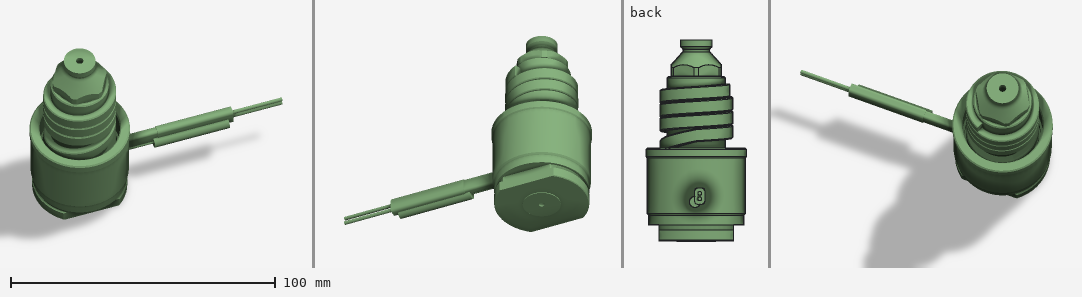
import cadquery as cq
import math

TOTAL_HEIGHT = 76.2
BOTTOM_PAD_TOP = 0.3
FOOT_TOP = 4.3
GROOVE_TOP = 6.3
STEP_TOP = 9.9
SHELL_BOTTOM = 10.7
FLANGE_BOTTOM = 31.6
FLANGE_TOP = 35.3
RECESS_FLOOR = 21.0
RECESS_LEDGE = 25.0
BARREL_TOP = 62.3
NUT_BOTTOM = 62.6
NECK_BOTTOM = 71.7
CAP_BOTTOM = 73.7

BOTTOM_PAD_RADIUS = 7.2
STEP_RADIUS = 18.0
GROOVE_RADIUS = 17.1
SHELL_RADIUS = 18.6
FLANGE_RADIUS = 19.0
RECESS_RADIUS = 15.2
WELL_RADIUS = 14.4
BARREL_RADIUS = 11.0
NECK_RADIUS = 5.1
CAP_RADIUS = 6.0
BORE_RADIUS = 1.4
BORE_OUTLET_RADIUS = 1.1
BORE_DEPTH = 20.0

EDGE_CHAMFER = 0.5
RECESS_CHAMFER = 0.5
FOOT_CHAMFER = 0.3
FOOT_FLAT_DISTANCE = 14.1

NUT_APOTHEM = 9.5
NUT_CORNER_RADIUS = 10.5
NUT_SHOULDER = 65.7
NECK_WAIST_RADIUS = 5.0
NECK_WAIST_BOTTOM = 72.2
NECK_WAIST_TOP = 72.6

SPRING_RADIUS = 13.8
SPRING_SEATING = 0.1
SPRING_INNER_RADIUS = BARREL_RADIUS - SPRING_SEATING
SPRING_WIRE_HEIGHT = 5.0
SPRING_CHAMFER = 0.4
SPRING_TOP = 59.6
SPRING_TOP_ANGLE = 157.0
CLOSE_PITCH = 5.3
CLOSE_TURNS = 3
CLOSE_SWEEP = CLOSE_TURNS * 360 + 67.0
OPEN_PITCH = 18.5
OPEN_SWEEP = 230.0
END_SWEEP = 360.0

CABLE_X = -1.3
CABLE_Z = 17.2
SLEEVE_WIDTH = 3.8
SLEEVE_HEIGHT = 6.2
SLEEVE_ROUNDING = 1.1
JACKET_INSET = 0.3
SLEEVE_START = 31.0
SLEEVE_END = 61.1
WIRE_DIAMETER = 1.4
WIRE_SPACING = 2.1
TOTAL_LENGTH = 100.0
WIRE_END = TOTAL_LENGTH - FLANGE_RADIUS
CABLE_ROOT = 17.0

TUBE_X = 0.5
TUBE_Z = 15.0
TUBE_RADIUS = 2.1
TUBE_START = 29.2
TUBE_END = 59.0
TUBE_WIRE_RADIUS = 0.4


def turned(profile):
    """Revolve a closed outline of (radius, height) points about Z."""
    return cq.Workplane("XZ").polyline(profile).close().revolve(360, (0, 0, 0), (0, 1, 0))


def rod_along_y(x, z, radius, y_start, y_end):
    plane = cq.Workplane("XZ", origin=(x, y_start, z))
    return plane.circle(radius).extrude(y_start - y_end)


def rounded_bar(inset, y_start, y_end):
    """Bar along Y with the sleeve's rounded section, shrunk by the inset."""
    bar = cq.Workplane("XZ", origin=(CABLE_X, y_start, CABLE_Z))
    bar = bar.rect(SLEEVE_WIDTH - 2 * inset, SLEEVE_HEIGHT - 2 * inset).extrude(y_start - y_end)
    return bar.edges("|Y").fillet(SLEEVE_ROUNDING - inset)


def make_base():
    """Foot, snap groove, shell and flange with the open recess around the barrel."""
    foot = turned([
        (0, 0),
        (BOTTOM_PAD_RADIUS, 0),
        (BOTTOM_PAD_RADIUS, BOTTOM_PAD_TOP),
        (STEP_RADIUS - FOOT_CHAMFER, BOTTOM_PAD_TOP),
        (STEP_RADIUS, BOTTOM_PAD_TOP + FOOT_CHAMFER),
        (STEP_RADIUS, FOOT_TOP),
        (GROOVE_RADIUS, FOOT_TOP),
        (GROOVE_RADIUS, GROOVE_TOP),
        (0, GROOVE_TOP),
    ])
    between_flats = cq.Workplane("XY").box(
        2 * FOOT_FLAT_DISTANCE, 2 * STEP_RADIUS, GROOVE_TOP, centered=(True, True, False)
    )
    shell = turned([
        (0, GROOVE_TOP),
        (STEP_RADIUS, GROOVE_TOP),
        (STEP_RADIUS, STEP_TOP),
        (SHELL_RADIUS, SHELL_BOTTOM),
        (SHELL_RADIUS, FLANGE_BOTTOM),
        (FLANGE_RADIUS, FLANGE_BOTTOM + EDGE_CHAMFER),
        (FLANGE_RADIUS, FLANGE_TOP - EDGE_CHAMFER),
        (FLANGE_RADIUS - EDGE_CHAMFER, FLANGE_TOP),
        (RECESS_RADIUS + RECESS_CHAMFER, FLANGE_TOP),
        (RECESS_RADIUS, FLANGE_TOP - RECESS_CHAMFER),
        (RECESS_RADIUS, RECESS_LEDGE),
        (WELL_RADIUS, RECESS_LEDGE),
        (WELL_RADIUS, RECESS_FLOOR),
        (0, RECESS_FLOOR),
    ])
    return foot.intersect(between_flats).union(shell)


def make_barrel():
    """Plain cylinder carrying the spring, with a short collar under the nut."""
    return turned([
        (0, GROOVE_TOP),
        (BARREL_RADIUS, GROOVE_TOP),
        (BARREL_RADIUS, BARREL_TOP - EDGE_CHAMFER),
        (BARREL_RADIUS - EDGE_CHAMFER, BARREL_TOP),
        (NUT_APOTHEM, BARREL_TOP),
        (NUT_APOTHEM, NUT_BOTTOM),
        (0, NUT_BOTTOM),
    ])


def make_nut():
    """Hexagonal nut, corners on the Y axis, coned up to a necked cap."""
    blank = turned([
        (0, NUT_BOTTOM),
        (NUT_CORNER_RADIUS, NUT_BOTTOM),
        (NUT_CORNER_RADIUS, NUT_SHOULDER),
        (NECK_RADIUS, NECK_BOTTOM),
        (NECK_WAIST_RADIUS, NECK_WAIST_BOTTOM),
        (NECK_WAIST_RADIUS, NECK_WAIST_TOP),
        (CAP_RADIUS, CAP_BOTTOM),
        (CAP_RADIUS, TOTAL_HEIGHT),
        (0, TOTAL_HEIGHT),
    ])
    across_corners = 2 * NUT_APOTHEM / math.cos(math.pi / 6)
    hexagon = cq.Workplane("XY", origin=(0, 0, NUT_BOTTOM)).transformed(rotate=(0, 0, 90))
    return blank.intersect(hexagon.polygon(6, across_corners).extrude(TOTAL_HEIGHT - NUT_BOTTOM))


def make_coil(pitch, sweep, top_height, top_angle):
    """Right-hand coil whose wire ends at the given top height and angle (degrees)."""
    rise = pitch * sweep / 360
    wire_width = SPRING_RADIUS - SPRING_INNER_RADIUS
    wire_centre = SPRING_INNER_RADIUS + wire_width / 2
    path = cq.Workplane(cq.Wire.makeHelix(pitch, rise, SPRING_RADIUS))
    section = cq.Sketch().rect(wire_width, SPRING_WIRE_HEIGHT).vertices().chamfer(SPRING_CHAMFER)
    section = section.moved(cq.Location(cq.Vector(wire_centre, SPRING_WIRE_HEIGHT / 2, 0)))
    coil = cq.Workplane("XZ").placeSketch(section).sweep(path, isFrenet=True)
    coil = coil.rotate((0, 0, 0), (0, 0, 1), top_angle - sweep)
    return coil.translate((0, 0, top_height - SPRING_WIRE_HEIGHT - rise))


def make_spring():
    """Close upper turns, a steep open stretch, then one close turn seated in the recess."""
    stretches = [(CLOSE_PITCH, CLOSE_SWEEP), (OPEN_PITCH, OPEN_SWEEP), (CLOSE_PITCH, END_SWEEP)]
    spring = cq.Workplane("XY")
    top_height = SPRING_TOP
    top_angle = SPRING_TOP_ANGLE
    for pitch, sweep in stretches:
        spring = spring.add(make_coil(pitch, sweep, top_height, top_angle))
        top_height -= pitch * sweep / 360
        top_angle -= sweep
    return spring.combine()


def make_cable():
    """Jacket, thicker sleeve and two bare wires, plus the tube and its wire."""
    cable = rounded_bar(JACKET_INSET, CABLE_ROOT, SLEEVE_START)
    cable = cable.union(rounded_bar(0, SLEEVE_START, SLEEVE_END))
    for side in (-1, 1):
        wire_z = CABLE_Z + side * WIRE_SPACING / 2
        cable = cable.union(rod_along_y(CABLE_X, wire_z, WIRE_DIAMETER / 2, SLEEVE_END, WIRE_END))
    cable = cable.union(rod_along_y(TUBE_X, TUBE_Z, TUBE_RADIUS, TUBE_START, TUBE_END))
    return cable.union(rod_along_y(TUBE_X, TUBE_Z, TUBE_WIRE_RADIUS, CABLE_ROOT, TUBE_START))


def make_bore():
    """Stepped bore right through the part along Z."""
    outlet = cq.Workplane("XY").circle(BORE_OUTLET_RADIUS).extrude(TOTAL_HEIGHT)
    entry = cq.Workplane("XY", origin=(0, 0, TOTAL_HEIGHT)).circle(BORE_RADIUS).extrude(-BORE_DEPTH)
    return outlet.union(entry)


body = make_base().union(make_barrel()).union(make_nut())
result = body.union(make_spring()).union(make_cable()).cut(make_bore())